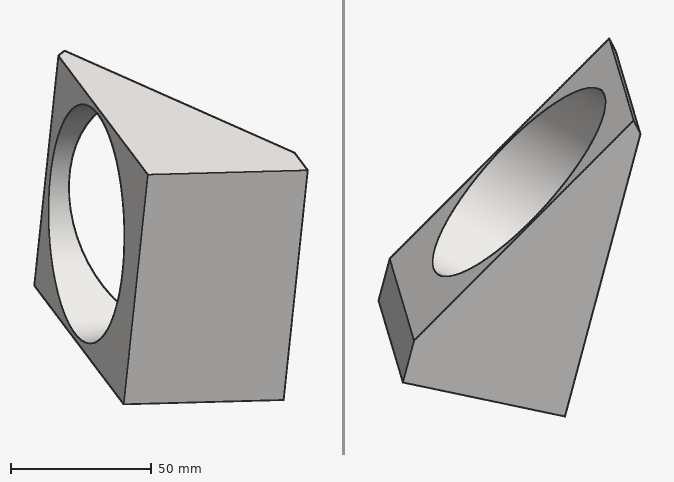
import cadquery as cq
import math

front_width = 109.3
side_depth = 60.0
height = 89.0
back_flat = 16.2
back_slope = 30.0
nose_depth = 3.7

hole_diameter = 85.0
hole_edge_margin = 5.0
hole_swing = back_slope / 2

turn = -50.0
lean = 5.8

turn_angle = math.radians(turn)
lean_angle = math.radians(lean)
along_front = cq.Vector(math.cos(turn_angle), math.sin(turn_angle), 0)
level_depth = cq.Vector(-math.sin(turn_angle), math.cos(turn_angle), 0)
wedge_axis = level_depth * math.sin(lean_angle) + cq.Vector(0, 0, math.cos(lean_angle))
base = cq.Plane(origin=(0, 0, 0), xDir=along_front, normal=wedge_axis)


def make_wedge():
    slope_end = front_width - back_flat
    slope_run = (side_depth - nose_depth) / math.tan(math.radians(back_slope))
    outline = [
        (0, 0),
        (front_width, 0),
        (front_width, side_depth),
        (slope_end, side_depth),
        (slope_end - slope_run, nose_depth),
    ]
    return cq.Workplane(base).polyline(outline).close().extrude(height)


def make_hole():
    swing = math.radians(hole_swing)
    rim_half_width = hole_diameter / 2 / math.cos(swing)
    center = base.toWorldCoords((hole_edge_margin + rim_half_width, 0, height / 2))
    direction = base.yDir * math.cos(swing) - base.xDir * math.sin(swing)
    reach = 2 * front_width
    start = center - direction * (reach / 2)
    return cq.Workplane(cq.Solid.makeCylinder(hole_diameter / 2, reach, start, direction))


result = make_wedge().cut(make_hole())